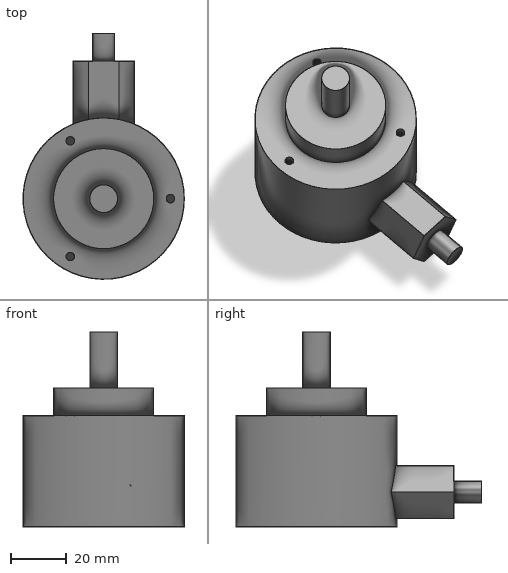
import cadquery as cq

body_diameter = 58.0
body_height = 40.0
boss_diameter = 36.0
boss_height = 10.0
shaft_diameter = 10.0
shaft_length = 20.1

hole_count = 3
hole_diameter = 3.0
hole_circle_diameter = 48.0
hole_depth = 10.0

overall_length = 88.4
gland_corner_diameter = 22.0
gland_center_height = 12.5
cable_diameter = 8.0
cable_length = 10.0

body_radius = body_diameter / 2
cable_end = overall_length - body_radius
gland_end = cable_end - cable_length


def make_housing():
    """Stepped round housing with the shaft on top."""
    return (
        cq.Workplane("XY")
        .circle(body_radius)
        .extrude(body_height)
        .faces(">Z")
        .workplane()
        .circle(boss_diameter / 2)
        .extrude(boss_height)
        .faces(">Z")
        .workplane()
        .circle(shaft_diameter / 2)
        .extrude(shaft_length)
    )


def make_cable_gland():
    """Hexagonal gland and cable, running outward from the housing axis."""
    side_plane = cq.Workplane("XZ", origin=(0, 0, gland_center_height))
    gland = side_plane.polygon(6, gland_corner_diameter).extrude(-gland_end)
    cable = side_plane.circle(cable_diameter / 2).extrude(-cable_end)
    return gland.union(cable)


def make_mounting_holes():
    """Blind holes evenly spaced on a circle, the first one on +X."""
    return (
        cq.Workplane("XY", origin=(0, 0, body_height))
        .polarArray(hole_circle_diameter / 2, 0, 360, hole_count)
        .circle(hole_diameter / 2)
        .extrude(-hole_depth)
    )


result = make_housing().union(make_cable_gland()).cut(make_mounting_holes())